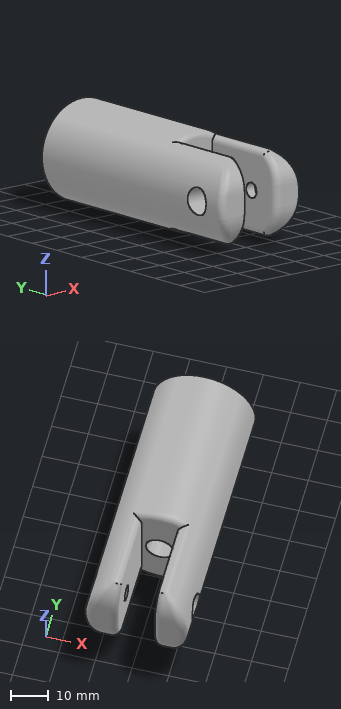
import cadquery as cq

length = 73.0
body_diameter = 28.0
body_radius = body_diameter / 2

slot_width = 9.85
slot_depth = 26.0
tip_radius = 10.2
tip_flat = 6.0
edge_fillet = 2.0

hole_diameter = 4.15
bore_diameter = 7.5
cross_hole_y = 10.0
arm_web = 3.0
cross_bore_floor_x = slot_width / 2 + arm_web
axial_bore_depth = 6.0


def make_body():
    """Solid cylinder running along Y; its seam is turned to X = 0, clear of the arms."""
    return cq.Workplane("XZ").circle(body_radius).extrude(-length).rotate((0, 0, 0), (0, 1, 0), -90)


def make_tip_envelope():
    """Side outline of the body with rounded tip corners, extruded across X."""
    arc_center_z = tip_flat / 2
    arc_top_z = arc_center_z + tip_radius
    arc_mid = tip_radius * 0.5 ** 0.5
    arc_mid_y = tip_radius - arc_mid
    arc_mid_z = arc_center_z + arc_mid
    return (
        cq.Workplane("YZ")
        .moveTo(0, -arc_center_z)
        .lineTo(0, arc_center_z)
        .threePointArc((arc_mid_y, arc_mid_z), (tip_radius, arc_top_z))
        .lineTo(tip_radius, body_diameter)
        .lineTo(length, body_diameter)
        .lineTo(length, -body_diameter)
        .lineTo(tip_radius, -body_diameter)
        .lineTo(tip_radius, -arc_top_z)
        .threePointArc((arc_mid_y, -arc_mid_z), (0, -arc_center_z))
        .close()
        .extrude(body_radius, both=True)
    )


def make_slot():
    """Block that separates the two fork arms."""
    return cq.Workplane("XY").box(
        slot_width, slot_depth, body_diameter, centered=(True, False, True)
    )


def round_fork_edges(fork):
    """Round every fork edge except the two slot corners along Z and the back end."""
    fork_edges = cq.selectors.BoxSelector(
        (-body_diameter, -0.7, -body_diameter),
        (body_diameter, slot_depth + 0.7, body_diameter),
    )
    slot_corners = cq.selectors.BoxSelector(
        (-slot_width, slot_depth - 0.7, -0.7),
        (slot_width, slot_depth + 0.7, 0.7),
    )
    tip_joints = cq.selectors.ParallelDirSelector(cq.Vector(1, 0, 0))
    return fork.edges(fork_edges - slot_corners - tip_joints).fillet(edge_fillet)


def mirror_left_half(fork):
    """Keep the -X half and mirror it, so both arms have identical fillet corners."""
    half_space = cq.Workplane("XY").box(
        body_diameter, length, body_diameter, centered=(True, False, True)
    ).translate((-body_diameter / 2, 0, 0))
    left_half = fork.intersect(half_space)
    return left_half.union(left_half.mirror("YZ")).clean()


def cylinder_along(plane, diameter, depth):
    """Cylinder that starts on a plane and follows its normal."""
    return cq.Workplane(plane).circle(diameter / 2).extrude(depth)


def cut_cross_holes(fork):
    """Pin hole through both arms, counterbored from the outside."""
    plane = cq.Plane(origin=(-body_radius, cross_hole_y, 0), xDir=(0, 1, 0), normal=(1, 0, 0))
    fork = fork.cut(cylinder_along(plane, hole_diameter, body_diameter))
    for side in (-1, 1):
        bore_plane = cq.Plane(
            origin=(side * cross_bore_floor_x, cross_hole_y, 0),
            xDir=(0, 1, 0),
            normal=(side, 0, 0),
        )
        fork = fork.cut(cylinder_along(bore_plane, bore_diameter, body_radius))
    return fork


def cut_axial_hole(fork):
    """Hole from the slot floor through the back end, counterbored at the floor."""
    plane = cq.Plane(origin=(0, slot_depth, 0), xDir=(1, 0, 0), normal=(0, 1, 0))
    fork = fork.cut(cylinder_along(plane, hole_diameter, length - slot_depth))
    return fork.cut(cylinder_along(plane, bore_diameter, axial_bore_depth))


fork_blank = make_body().intersect(make_tip_envelope()).cut(make_slot())
rounded_fork = mirror_left_half(round_fork_edges(fork_blank))
result = cut_axial_hole(cut_cross_holes(rounded_fork))